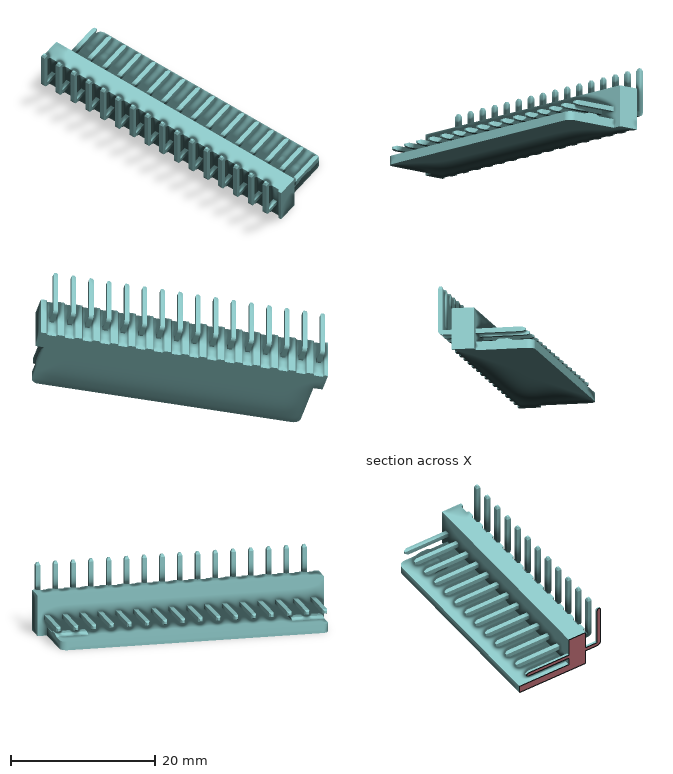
import cadquery as cq
import math


body_length = 40.95
body_depth = 3.15
body_height = 5.8

pin_count = 16
pin_pitch = 2.55
pin_width = 0.65
row_center_x = 0.15
pin_bottom_z = 2.35
pin_front_reach = 2.15
pin_rear_reach = 7.1
pin_top_z = 9.2
top_tip_length = 0.35
rear_tip_length = 0.5
tip_width = 0.33

notch_mouth = 1.6
notch_floor = 1.23
notch_depth = 0.35

plate_length = 38.3
plate_reach = 8.2
plate_thickness = 1.23
plate_corner_radius = 1.02

pad_length = 4.6
pad_height = 0.265
pad_base_near = 2.75
pad_top_near = 3.28
pad_top_far = 4.5
pad_base_far = 5.35

first_pin_x = row_center_x - pin_pitch * (pin_count - 1) / 2
pin_positions = [first_pin_x + i * pin_pitch for i in range(pin_count)]


def make_body():
    block = cq.Workplane("XY").box(body_length, body_depth, body_height, centered=(True, False, False))
    for x in pin_positions:
        block = block.cut(make_notch(x))
    return block


def make_notch(x):
    """Trapezoidal groove over the full body height, narrowing towards its floor."""
    return (
        cq.Workplane("XY")
        .moveTo(x - notch_mouth / 2, 0)
        .lineTo(x - notch_floor / 2, notch_depth)
        .lineTo(x + notch_floor / 2, notch_depth)
        .lineTo(x + notch_mouth / 2, 0)
        .close()
        .extrude(body_height)
    )


def make_plate():
    """Flat plate with its two rear corners rounded."""
    return (
        cq.Workplane("XY")
        .box(plate_length, plate_reach, plate_thickness, centered=(True, False, False))
        .edges("|Z and >Y")
        .fillet(plate_corner_radius)
        .translate((0, body_depth, 0))
    )


def make_pad(start_x):
    """Low pad with sloped front and rear, extruded along X from start_x."""
    pad_top = plate_thickness + pad_height
    return (
        cq.Workplane("YZ", origin=(start_x, body_depth, 0))
        .moveTo(pad_base_near, 0)
        .lineTo(pad_base_near, plate_thickness)
        .lineTo(pad_top_near, pad_top)
        .lineTo(pad_top_far, pad_top)
        .lineTo(pad_base_far, plate_thickness)
        .lineTo(pad_base_far, 0)
        .close()
        .extrude(pad_length)
    )


def make_tip(base, tip_length):
    """Blunt pyramid that ends a pin leg, grown from the given base plane."""
    return base.rect(pin_width, pin_width).workplane(offset=tip_length).rect(tip_width, tip_width).loft()


def make_pin():
    """Bent square pin centred on X = 0, with a rounded outer bend and a sharp inner one."""
    front_y = -pin_front_reach
    leg_back_y = front_y + pin_width
    rear_y = body_depth + pin_rear_reach - rear_tip_length
    upper_z = pin_bottom_z + pin_width
    leg_top_z = pin_top_z - top_tip_length
    bend_mid_offset = pin_width * math.sqrt(0.5)
    bend_mid = (leg_back_y - bend_mid_offset, upper_z - bend_mid_offset)
    shank = (
        cq.Workplane("YZ")
        .moveTo(rear_y, pin_bottom_z)
        .lineTo(rear_y, upper_z)
        .lineTo(leg_back_y, upper_z)
        .lineTo(leg_back_y, leg_top_z)
        .lineTo(front_y, leg_top_z)
        .lineTo(front_y, upper_z)
        .threePointArc(bend_mid, (leg_back_y, pin_bottom_z))
        .close()
        .extrude(pin_width / 2, both=True)
    )
    top_base = cq.Workplane("XY", origin=(0, front_y + pin_width / 2, leg_top_z))
    rear_base = cq.Workplane("ZX", origin=(0, rear_y, pin_bottom_z + pin_width / 2))
    top_tip = make_tip(top_base, top_tip_length)
    rear_tip = make_tip(rear_base, rear_tip_length)
    return shank.union(top_tip).union(rear_tip)


result = make_body().union(make_plate())
for pad_start_x in (-plate_length / 2, plate_length / 2 - pad_length):
    result = result.union(make_pad(pad_start_x))

pin = make_pin()
for pin_x in pin_positions:
    result = result.union(pin.translate((pin_x, 0, 0)))